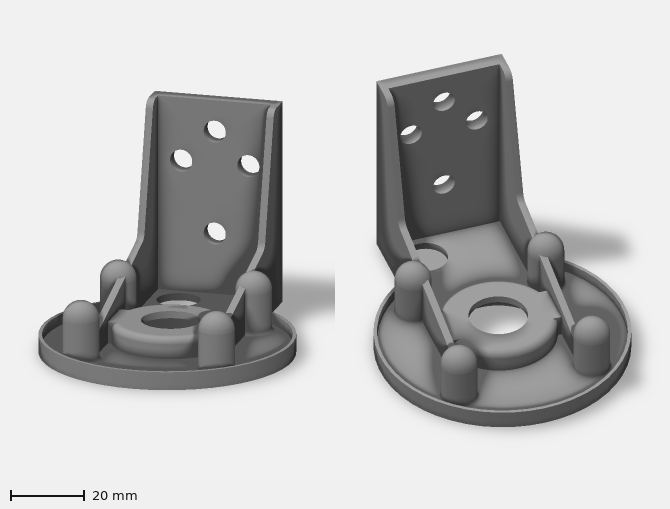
import cadquery as cq

DISC_DIAMETER = 70.0
RIM_WIDTH = 1.0
RIM_HEIGHT = 5.1
FLOOR = 2.0
BACK_Y = 52.5
TOTAL_HEIGHT = 57.0

BRACKET_WIDTH = 36.0
SIDE_WALL = 2.0
BACK_PLATE = 4.0
INNER_WIDTH = BRACKET_WIDTH - 2 * SIDE_WALL
SHOULDER_Y = BACK_Y - 8.7
ELBOW_Y = 34.3
ELBOW_Z = 20.4
TOE_Z = 6.4
BEND_RADIUS = 3.0

PIN_DIAMETER = 10.0
PIN_OFFSET = 19.1
PIN_TOP = 18.7
PIN_FOOT_DIAMETER = 12.0
PIN_FOOT_FILLET = (PIN_FOOT_DIAMETER - PIN_DIAMETER) / 2

COLLAR_Y = 3.15
COLLAR_TOP = 8.05
COLLAR_WALL = 2.0
COLLAR_BORE = 28.2
COLLAR_DIAMETER = COLLAR_BORE + 2 * COLLAR_WALL
COLLAR_ROUND = 2.0
BAR_LENGTH = 12.0

CENTRE_HOLE_DIAMETER = 16.2
CENTRE_HOLE_Y = 3.4
RECESS_DEPTH = 1.05

CABLE_HOLE_DIAMETER = 12.0
CABLE_HOLE_X = -8.0
CABLE_HOLE_Y = 40.5

SCREW_HOLE_DIAMETER = 6.2
SCREW_SIDE_X = 9.45
SCREW_HOLES = [(0, 48.0), (-SCREW_SIDE_X, 39.0), (SCREW_SIDE_X, 39.0), (0, 19.1)]


def box(width, y_start, y_end, z_start, z_end):
    """Block centred on X = 0."""
    return (
        cq.Workplane("XY", origin=(0, 0, z_start))
        .center(0, (y_start + y_end) / 2)
        .rect(width, y_end - y_start)
        .extrude(z_end - z_start)
    )


def cylinder(diameter, x, y, z_start, z_end):
    """Upright cylinder."""
    return cq.Workplane("XY", origin=(x, y, z_start)).circle(diameter / 2).extrude(z_end - z_start)


def disc():
    """Round dish with a thin raised rim."""
    dish = cylinder(DISC_DIAMETER, 0, 0, 0, RIM_HEIGHT)
    return dish.cut(cylinder(DISC_DIAMETER - 2 * RIM_WIDTH, 0, 0, FLOOR, RIM_HEIGHT))


def bracket():
    """Solid block with the side wall profile across the full bracket width."""
    toe_y = -PIN_OFFSET
    outline = [
        (toe_y, 0),
        (BACK_Y, 0),
        (BACK_Y, TOTAL_HEIGHT),
        (SHOULDER_Y, TOTAL_HEIGHT),
        (ELBOW_Y, ELBOW_Z),
        (toe_y, TOE_Z),
    ]
    body = cq.Workplane("YZ").polyline(outline).close().extrude(BRACKET_WIDTH / 2, both=True)
    for bend_y, bend_z in [(SHOULDER_Y, TOTAL_HEIGHT), (ELBOW_Y, ELBOW_Z)]:
        body = body.edges(cq.NearestToPointSelector((0, bend_y, bend_z))).fillet(BEND_RADIUS)
    return body


def bracket_channel():
    """Open space between the side walls, in front of the back plate."""
    return box(INNER_WIDTH, -PIN_OFFSET, BACK_Y - BACK_PLATE, FLOOR, TOTAL_HEIGHT)


def pin(x, y):
    """Domed pin with a concave fillet where it meets the floor."""
    radius = PIN_DIAMETER / 2
    foot_radius = PIN_FOOT_DIAMETER / 2
    return (
        cq.Workplane("XZ", origin=(x, y, 0))
        .lineTo(foot_radius, 0)
        .lineTo(foot_radius, FLOOR)
        .radiusArc((radius, FLOOR + PIN_FOOT_FILLET), PIN_FOOT_FILLET)
        .lineTo(radius, PIN_TOP - radius)
        .radiusArc((0, PIN_TOP), -radius)
        .close()
        .revolve(360, (0, 0, 0), (0, 1, 0))
    )


def collar():
    """Round collar with a rounded top edge, plus the cross bar."""
    ring = cylinder(COLLAR_DIAMETER, 0, COLLAR_Y, 0, COLLAR_TOP).faces(">Z").edges().fillet(COLLAR_ROUND)
    ring = ring.intersect(box(BRACKET_WIDTH, -PIN_OFFSET, BACK_Y, 0, COLLAR_TOP))
    bar = box(INNER_WIDTH, COLLAR_Y - BAR_LENGTH / 2, COLLAR_Y + BAR_LENGTH / 2, 0, COLLAR_TOP)
    return ring.union(bar)


def screw_holes():
    """Holes through the back plate."""
    return (
        cq.Workplane("XZ", origin=(0, BACK_Y, 0))
        .pushPoints(SCREW_HOLES)
        .circle(SCREW_HOLE_DIAMETER / 2)
        .extrude(BACK_PLATE)
    )


result = disc().union(bracket()).cut(bracket_channel()).union(collar())
for pin_x in (-PIN_OFFSET, PIN_OFFSET):
    for pin_y in (-PIN_OFFSET, PIN_OFFSET):
        result = result.union(pin(pin_x, pin_y))

result = result.cut(cylinder(COLLAR_BORE, 0, COLLAR_Y, 0, COLLAR_TOP - COLLAR_WALL))
result = result.cut(cylinder(COLLAR_BORE, 0, CENTRE_HOLE_Y, 0, RECESS_DEPTH))
result = result.cut(cylinder(CENTRE_HOLE_DIAMETER, 0, CENTRE_HOLE_Y, 0, COLLAR_TOP))
result = result.cut(cylinder(CABLE_HOLE_DIAMETER, CABLE_HOLE_X, CABLE_HOLE_Y, 0, FLOOR))
result = result.cut(screw_holes())